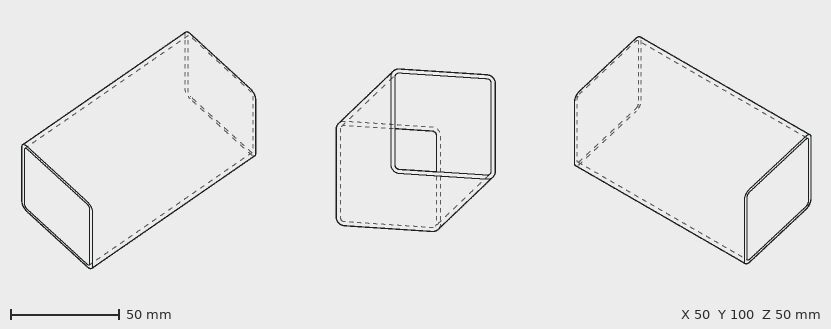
import cadquery as cq

length = 100.0
side = 50.0
wall = 2.0
outer_radius = 4.0
inner_radius = outer_radius - wall


def rounded_bar(width, corner_radius):
    """Solid square bar along Y with rounded long edges."""
    return cq.Workplane("XY").box(width, length, width).edges("|Y").fillet(corner_radius)


outer_bar = rounded_bar(side, outer_radius)
bore = rounded_bar(side - 2 * wall, inner_radius)

result = outer_bar.cut(bore)